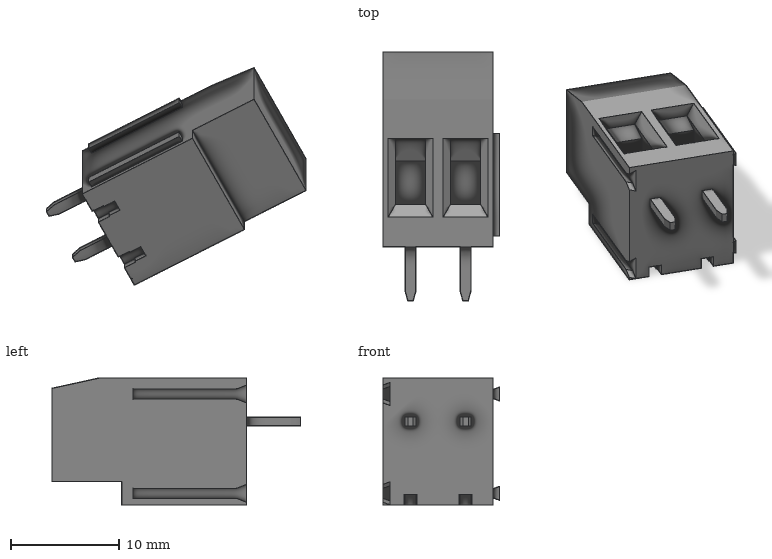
import cadquery as cq
import math


POLE_COUNT = 2
POLE_PITCH = 5.08
TOTAL_LENGTH = 23.0
TOTAL_WIDTH = 10.76
HEIGHT = 11.75
PIN_LENGTH = 5.0
WIDTH = POLE_COUNT * POLE_PITCH
LENGTH = TOTAL_LENGTH - PIN_LENGTH
SLOPE_LENGTH = 4.45
SLOPE_DROP = 0.97
STEP_LENGTH = 6.46
STEP_HEIGHT = 2.16
POLE_CENTRES = [(i + 0.5) * POLE_PITCH for i in range(POLE_COUNT)]

LOWER_DOVETAIL_LEVEL = 1.08
UPPER_DOVETAIL_LEVEL = 10.25
DOVETAIL_ANGLE = 20.0
DOVETAIL_SLOPE = math.tan(math.radians(DOVETAIL_ANGLE))
RAIL_ROOT = 0.85
RAIL_DEPTH = TOTAL_WIDTH - WIDTH
RAIL_START = 1.0
RAIL_END = 10.49
GROOVE_OPENING = 0.92
GROOVE_DEPTH = 0.65
GROOVE_MOUTH_OPENING = 1.65
GROOVE_MOUTH_LENGTH = 0.92

POCKET_WIDTH = 4.15
POCKET_FRONT = 2.74
POCKET_BACK = 10.0
SHAFT_WIDTH = 2.8
SHAFT_FRONT = 3.9
FUNNEL_DEPTH = 1.2
LEDGE_LENGTH = 2.07
LEDGE_DROP = 0.45

PIN_WIDTH = 1.01
PIN_THICKNESS = 0.8
PIN_BOTTOM = 7.31
PIN_TIP_WIDTH = 0.5
PIN_TIP_LENGTH = 0.92

SHAFT_FLOOR = PIN_BOTTOM + PIN_THICKNESS

NOTCH_WIDTH = 1.2
NOTCH_DEPTH = 1.15
NOTCH_END_WIDTH = 1.01
NOTCH_END_DEPTH = 2.3
NOTCH_HEIGHT = 1.0


def make_housing():
    """Block with a sloped top at the back and a step under the back."""
    return (
        cq.Workplane("YZ")
        .moveTo(0, 0)
        .lineTo(LENGTH - STEP_LENGTH, 0)
        .lineTo(LENGTH - STEP_LENGTH, STEP_HEIGHT)
        .lineTo(LENGTH, STEP_HEIGHT)
        .lineTo(LENGTH, HEIGHT - SLOPE_DROP)
        .lineTo(LENGTH - SLOPE_LENGTH, HEIGHT)
        .lineTo(0, HEIGHT)
        .close()
        .extrude(WIDTH)
    )


def dovetail_section(x, y, level, opening, depth):
    """Dovetail outline in the XZ plane at y: narrow at x, wider at x + depth."""
    half_narrow = opening / 2
    half_wide = half_narrow + depth * DOVETAIL_SLOPE
    return cq.Wire.makePolygon(
        [
            cq.Vector(x, y, level - half_narrow),
            cq.Vector(x + depth, y, level - half_wide),
            cq.Vector(x + depth, y, level + half_wide),
            cq.Vector(x, y, level + half_narrow),
        ],
        close=True,
    )


def make_rail(level):
    """Straight dovetail rail standing out from the +X side."""
    start = dovetail_section(WIDTH, RAIL_START, level, RAIL_ROOT, RAIL_DEPTH)
    end = dovetail_section(WIDTH, RAIL_END, level, RAIL_ROOT, RAIL_DEPTH)
    return cq.Workplane(cq.Solid.makeLoft([start, end], True))


def make_groove(level):
    """Blind dovetail groove that flares out to a wider mouth at the pin face."""
    mouth = dovetail_section(0, 0, level, GROOVE_MOUTH_OPENING, GROOVE_DEPTH)
    throat = dovetail_section(0, GROOVE_MOUTH_LENGTH, level, GROOVE_OPENING, GROOVE_DEPTH)
    end = dovetail_section(0, RAIL_END, level, GROOVE_OPENING, GROOVE_DEPTH)
    flare = cq.Workplane(cq.Solid.makeLoft([mouth, throat], True))
    return flare.union(cq.Workplane(cq.Solid.makeLoft([throat, end], True)))


def rectangle_at(x_centre, width, front, back, z):
    """Horizontal rectangle at height z, for lofting."""
    half = width / 2
    return cq.Wire.makePolygon(
        [
            cq.Vector(x_centre - half, front, z),
            cq.Vector(x_centre + half, front, z),
            cq.Vector(x_centre + half, back, z),
            cq.Vector(x_centre - half, back, z),
        ],
        close=True,
    )


def make_pocket(x_centre):
    """Funnel narrowing on three sides, over a shaft with a sloping ledge at its back."""
    funnel_bottom = HEIGHT - FUNNEL_DEPTH
    rim = rectangle_at(x_centre, POCKET_WIDTH, POCKET_FRONT, POCKET_BACK, HEIGHT)
    throat = rectangle_at(x_centre, SHAFT_WIDTH, SHAFT_FRONT, POCKET_BACK, funnel_bottom)
    funnel = cq.Workplane(cq.Solid.makeLoft([rim, throat], True))
    shaft = (
        cq.Workplane("YZ", origin=(x_centre, 0, 0))
        .moveTo(SHAFT_FRONT, funnel_bottom)
        .lineTo(SHAFT_FRONT, SHAFT_FLOOR)
        .lineTo(POCKET_BACK - LEDGE_LENGTH, SHAFT_FLOOR)
        .lineTo(POCKET_BACK - LEDGE_LENGTH, funnel_bottom - LEDGE_DROP)
        .lineTo(POCKET_BACK, funnel_bottom)
        .close()
        .extrude(SHAFT_WIDTH / 2, both=True)
    )
    return funnel.union(shaft)


def make_pin(x_centre):
    """Flat pin with its tip tapered in width."""
    tip_start = PIN_TIP_LENGTH - PIN_LENGTH
    return (
        cq.Workplane("XY", origin=(x_centre, 0, PIN_BOTTOM))
        .moveTo(-PIN_WIDTH / 2, 0)
        .lineTo(-PIN_WIDTH / 2, tip_start)
        .lineTo(-PIN_TIP_WIDTH / 2, -PIN_LENGTH)
        .lineTo(PIN_TIP_WIDTH / 2, -PIN_LENGTH)
        .lineTo(PIN_WIDTH / 2, tip_start)
        .lineTo(PIN_WIDTH / 2, 0)
        .close()
        .extrude(PIN_THICKNESS)
    )


def make_notch(x_centre):
    """Notch in the lower front edge, stepping in to a narrower blind end."""
    x_only = (True, False, False)
    base = cq.Workplane("XY", origin=(x_centre, 0, 0))
    mouth = base.box(NOTCH_WIDTH, NOTCH_DEPTH, NOTCH_HEIGHT, centered=x_only)
    end = base.box(NOTCH_END_WIDTH, NOTCH_END_DEPTH, NOTCH_HEIGHT, centered=x_only)
    return mouth.union(end)


result = make_housing()
for dovetail_level in (LOWER_DOVETAIL_LEVEL, UPPER_DOVETAIL_LEVEL):
    result = result.cut(make_groove(dovetail_level)).union(make_rail(dovetail_level))
for pole_centre in POLE_CENTRES:
    result = result.cut(make_pocket(pole_centre))
    result = result.cut(make_notch(pole_centre))
    result = result.union(make_pin(pole_centre))